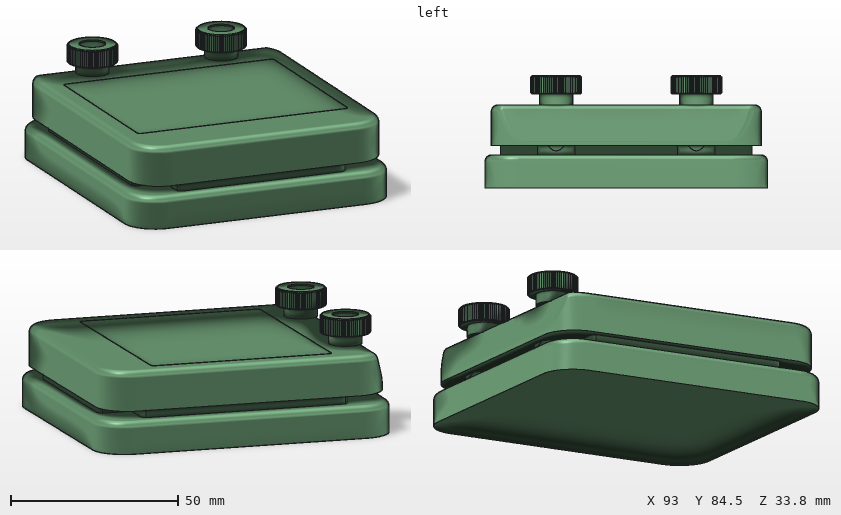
import cadquery as cq
import math

base_length = 93.0
base_width = 84.5
base_height = 9.95
corner_radius = 10.0
edge_radius = 2.0

lid_margin_x = 1.5
lid_margin_y = 1.9
lid_length = base_length - 2 * lid_margin_x
lid_width = base_width - 2 * lid_margin_y
lid_bottom = 12.7
lid_top = 24.9
lid_height = lid_top - lid_bottom

slope_foot_height = 1.0
slope_run = 3.8
slope_tangent = slope_run / (lid_height - slope_foot_height)

neck_left = -32.6
neck_step_x = 32.55
neck_right = 42.9
neck_width = 75.3
neck_step_width = 54.9
neck_corner_radius = 3.2
neck_flank_trim = 0.7

screen_length = 56.9
screen_width = 68.45
screen_radius = 1.0
screen_depth = 0.1

screw_x = -37.0
screw_spacing = 41.9
pillar_diameter = 11.25
pillar_slope_inset = 3.3
shank_diameter = 10.0
knob_bottom = 28.2
knob_top = 33.8
knob_diameter = 15.25
knob_top_chamfer = 0.6
knob_bottom_chamfer = 0.4
tooth_count = 72
tooth_depth = 0.5
recess_diameter = 8.0
recess_depth = 0.5


def rounded_block(length, width, bottom, top, radius):
    """Upright block centred on Z with rounded vertical edges."""
    block = cq.Workplane("XY").workplane(offset=bottom).rect(length, width).extrude(top - bottom)
    return block.edges("|Z").fillet(radius)


def outside_slope(inset):
    """Everything above the base on the -X side of the lid's slope, moved inward along +X by inset."""
    foot_x = -lid_length / 2 + inset
    foot_z = lid_bottom + slope_foot_height
    low_x = foot_x - (foot_z - base_height) * slope_tangent
    outer_x = -base_length
    outline = [(outer_x, base_height), (low_x, base_height), (foot_x + slope_run, lid_top), (outer_x, lid_top)]
    return cq.Workplane("XZ").polyline(outline).close().extrude(base_width, both=True)


def make_base():
    base = rounded_block(base_length, base_width, 0, base_height, corner_radius)
    return base.faces(">Z").edges().fillet(edge_radius)


def make_lid():
    lid = rounded_block(lid_length, lid_width, lid_bottom, lid_top, corner_radius)
    lid = lid.cut(outside_slope(0))
    slope_normal = cq.Vector(-1, 0, slope_tangent)
    slope_face = lid.faces(cq.selectors.ParallelDirSelector(slope_normal))
    lid = slope_face.add(lid.faces(">Z")).edges().fillet(edge_radius)
    screen = rounded_block(screen_length, screen_width, lid_top - screen_depth, lid_top, screen_radius)
    return lid.cut(screen)


def neck_block(left, right, width):
    """Rounded block whose two flanks are trimmed flat, cutting into the corner arcs."""
    length = right - left
    untrimmed_width = width + 2 * neck_flank_trim
    block = rounded_block(length, untrimmed_width, base_height, lid_bottom, neck_corner_radius)
    flanks = cq.Workplane("XY").box(length, width, 2 * lid_bottom)
    return block.intersect(flanks).translate(((left + right) / 2, 0, 0))


def make_neck():
    wide = neck_block(neck_left, neck_step_x, neck_width)
    return wide.union(neck_block(0, neck_right, neck_step_width))


def make_pillar(y):
    pillar = cq.Workplane("XY").workplane(offset=base_height).center(screw_x, y)
    pillar = pillar.circle(pillar_diameter / 2).extrude(lid_bottom - base_height)
    return pillar.cut(outside_slope(pillar_slope_inset))


def make_knob():
    """Knurled head with chamfered rims and a round recess in its top."""
    knob_height = knob_top - knob_bottom
    outer_radius = knob_diameter / 2
    points = []
    for i in range(2 * tooth_count):
        radius = outer_radius - tooth_depth * (i % 2)
        angle = math.pi * i / tooth_count
        points.append((radius * math.cos(angle), radius * math.sin(angle)))
    knurl = cq.Workplane("XY").polyline(points).close().extrude(knob_height)

    envelope = cq.Workplane("XY").circle(outer_radius).extrude(knob_height)
    envelope = envelope.faces(">Z").chamfer(knob_top_chamfer)
    envelope = envelope.faces("<Z").chamfer(knob_bottom_chamfer)
    head = knurl.intersect(envelope)
    return head.faces(">Z").workplane(origin=(0, 0, knob_height)).hole(recess_diameter, recess_depth)


def make_screw(knob, y):
    shank = cq.Workplane("XY").workplane(offset=lid_top).center(screw_x, y)
    shank = shank.circle(shank_diameter / 2).extrude(knob_bottom - lid_top)
    return shank.union(knob.translate((screw_x, y, knob_bottom)))


result = make_base().union(make_neck()).union(make_lid())
screw_head = make_knob()
for screw_y in (-screw_spacing / 2, screw_spacing / 2):
    result = result.union(make_pillar(screw_y))
    result = result.union(make_screw(screw_head, screw_y))